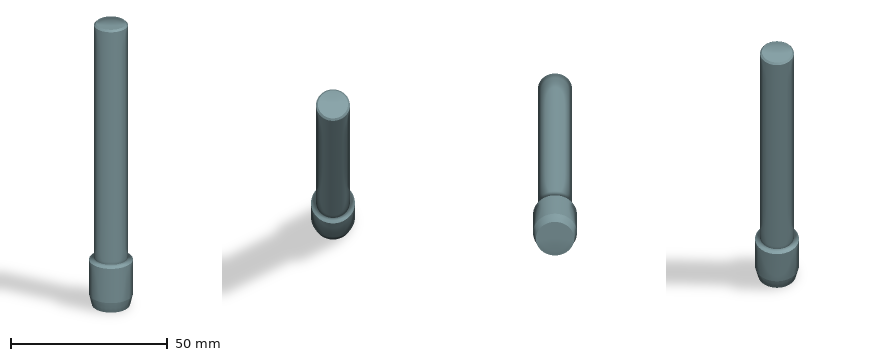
import cadquery as cq

total_length = 100.0

rod_radius = 5.4
rod_tip_radius = 4.8
rod_chamfer_height = 0.6

sleeve_radius = 7.0
sleeve_bottom_radius = 6.1
sleeve_height = 16.7
sleeve_bevel_height = 0.7
nose_height = 3.8


def make_rod():
    """Full-length rod with a chamfered upper end."""
    return (
        cq.Workplane("XZ")
        .moveTo(0, 0)
        .lineTo(rod_radius, 0)
        .lineTo(rod_radius, total_length - rod_chamfer_height)
        .lineTo(rod_tip_radius, total_length)
        .lineTo(0, total_length)
        .close()
        .revolve(360, (0, 0), (0, 1))
    )


def make_sleeve():
    """Sleeve fitting the rod, with a tapered nose below and a shallow bevel on top."""
    return (
        cq.Workplane("XZ")
        .moveTo(rod_radius, 0)
        .lineTo(sleeve_bottom_radius, 0)
        .lineTo(sleeve_radius, nose_height)
        .lineTo(sleeve_radius, sleeve_height - sleeve_bevel_height)
        .lineTo(rod_radius, sleeve_height)
        .close()
        .revolve(360, (0, 0), (0, 1))
    )


rod = make_rod()
sleeve = make_sleeve()

result = cq.Compound.makeCompound([rod.val(), sleeve.val()])